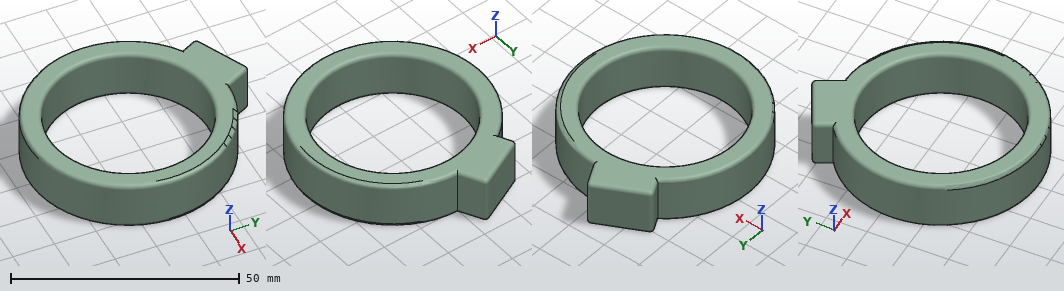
import cadquery as cq

outer_diameter = 47.95
bore_diameter = 38.0
height = 12.0
edge_radius = 1.0

block_tilt = 27.1
block_width = 15.0
block_offset = 3.9
block_reach = 28.3


def cylinder(diameter):
    """Full-height cylinder on the ring axis."""
    return cq.Workplane("XY").circle(diameter / 2).extrude(height)


def make_block():
    """Block from the ring axis outward, with its two outer upright edges rounded."""
    block = (
        cq.Workplane("XY")
        .center(block_offset, block_reach / 2)
        .rect(block_width, block_reach)
        .extrude(height)
        .edges("|Z and >Y")
        .fillet(edge_radius)
    )
    return block.rotate((0, 0, 0), (0, 0, 1), block_tilt)


def make_housing():
    """Ring and block in one piece, bored through, with top and bottom edges rounded."""
    body = cylinder(outer_diameter).union(make_block()).cut(cylinder(bore_diameter))
    return body.faces("<Z or >Z").edges().fillet(edge_radius).solids()


housing = make_housing()

result = cq.Compound.makeCompound([housing.val()])